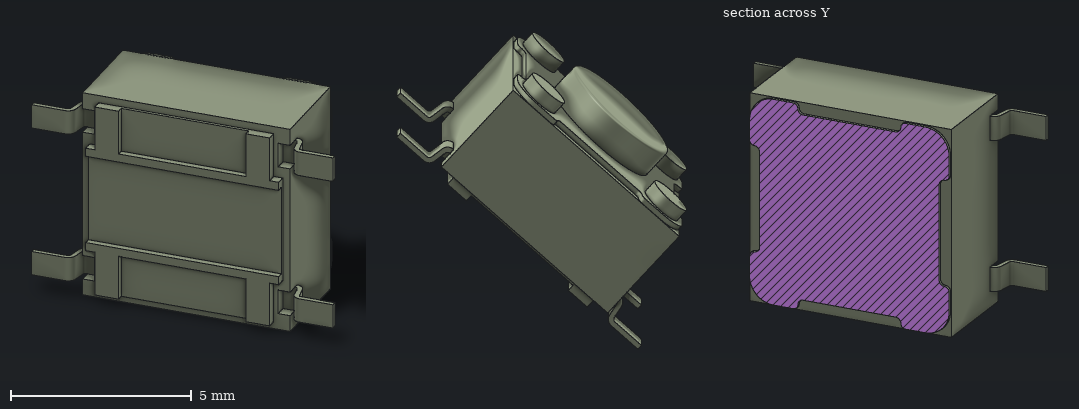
import cadquery as cq
import math


body_side = 6.2
body_front = 0.3
body_back = 3.25

base_side = 5.76
base_neck_width = 5.22
base_waist_height = 3.14
base_recess_floor = 0.2
middle_recess_height = 2.65
end_recess_width = 3.8

cover_side = 6.15
cover_back = 3.4
cover_corner_radius = 0.75
tab_end = 1.73
tab_curve_radius = 0.15

post_diameter = 1.2
post_offset = (base_side - post_diameter) / 2
post_back = 3.8
button_diameter = 3.5
button_back = 4.3
button_edge_radius = 0.09

lead_span = 9.0
lead_width = 0.72
lead_thickness = 0.15
lead_back = 0.8
lead_offset = 2.25
lead_lean = math.radians(10)
bend_inner_radius = 0.09
foot_bend_x = 3.5
slot_end_x = 2.745


def block(width, height, y_start, y_end, x=0, z=0):
    """Box centred on (x, z), reaching from y_start to y_end."""
    return cq.Workplane("XY").box(width, y_end - y_start, height).translate((x, (y_start + y_end) / 2, z))


def disc(diameter, y_start, y_end, x=0, z=0):
    """Cylinder along Y centred on (x, z)."""
    cylinder = cq.Workplane("XZ").circle(diameter / 2).extrude(y_start - y_end)
    return cylinder.translate((x, y_start, z))


def make_base():
    base = block(base_neck_width, base_side, 0, body_front)
    base = base.union(block(base_side, base_waist_height, 0, body_front))
    base = base.cut(block(base_side, middle_recess_height, 0, base_recess_floor))
    end_recess_height = (base_side - base_waist_height) / 2
    end_recess_z = (base_side + base_waist_height) / 4
    for side in (-1, 1):
        base = base.cut(
            block(end_recess_width, end_recess_height, 0, base_recess_floor, z=side * end_recess_z)
        )
    return base


def edge_notch():
    """Shallow recess in the top edge of the cover, running into the tabs with S-curves."""
    edge = cover_side / 2
    r = tab_curve_radius
    middle = tab_end - r
    floor_end = tab_end - 2 * r
    floor = edge - 2 * r
    diagonal = r * math.sqrt(0.5)
    return (
        cq.Workplane("XZ")
        .moveTo(-tab_end, edge)
        .threePointArc((-tab_end + diagonal, edge - r + diagonal), (-middle, edge - r))
        .threePointArc((-floor_end - diagonal, floor + r - diagonal), (-floor_end, floor))
        .lineTo(floor_end, floor)
        .threePointArc((floor_end + diagonal, floor + r - diagonal), (middle, edge - r))
        .threePointArc((tab_end - diagonal, edge - r + diagonal), (tab_end, edge))
        .close()
        .extrude(body_back - cover_back)
        .translate((0, body_back, 0))
    )


def make_cover():
    cover = block(cover_side, cover_side, body_back, cover_back)
    cover = cover.edges("|Y").fillet(cover_corner_radius)
    notch = edge_notch()
    for angle in (0, 90, 180, 270):
        cover = cover.cut(notch.rotate((0, 0, 0), (0, 1, 0), angle))
    for x in (-post_offset, post_offset):
        for z in (-post_offset, post_offset):
            cover = cover.union(disc(post_diameter, body_back, post_back, x, z))
    button = disc(button_diameter, body_back, button_back).faces(">Y").edges().fillet(button_edge_radius)
    return cover.union(button)


def make_lead():
    """Lead on the +X side: inner strip, bend, leaning leg, bend and foot."""
    outer = bend_inner_radius + lead_thickness
    inner = bend_inner_radius
    foot_y = outer
    top_y = lead_back - outer
    top_bend_x = foot_bend_x - (
        (outer + inner + (top_y - foot_y) * math.sin(lead_lean)) / math.cos(lead_lean)
    )
    end_angle = lead_lean
    middle_angle = (math.pi / 2 + lead_lean) / 2

    def top_point(radius, angle):
        return (top_bend_x + radius * math.cos(angle), top_y + radius * math.sin(angle))

    def foot_point(radius, angle):
        return (foot_bend_x - radius * math.cos(angle), foot_y - radius * math.sin(angle))

    return (
        cq.Workplane("XY")
        .moveTo(slot_end_x, lead_back)
        .lineTo(top_bend_x, lead_back)
        .threePointArc(top_point(outer, middle_angle), top_point(outer, end_angle))
        .lineTo(*foot_point(inner, end_angle))
        .threePointArc(foot_point(inner, middle_angle), (foot_bend_x, lead_thickness))
        .lineTo(lead_span / 2, lead_thickness)
        .lineTo(lead_span / 2, 0)
        .lineTo(foot_bend_x, 0)
        .threePointArc(foot_point(outer, middle_angle), foot_point(outer, end_angle))
        .lineTo(*top_point(inner, end_angle))
        .threePointArc(top_point(inner, middle_angle), (top_bend_x, top_y + inner))
        .lineTo(slot_end_x, top_y + inner)
        .close()
        .extrude(lead_width / 2, both=True)
    )


def make_slot():
    """Slot on the +X side, open to the front and to the side of the housing."""
    slot_width = body_side / 2 - slot_end_x
    slot_x = (body_side / 2 + slot_end_x) / 2
    return block(slot_width, lead_width, body_front, lead_back, x=slot_x)


body = block(body_side, body_side, body_front, body_back)
result = body.union(make_base()).union(make_cover())

right_lead = make_lead()
right_slot = make_slot()
for turn in (0, 180):
    for z in (-lead_offset, lead_offset):
        slot = right_slot.rotate((0, 0, 0), (0, 1, 0), turn).translate((0, 0, z))
        lead = right_lead.rotate((0, 0, 0), (0, 1, 0), turn).translate((0, 0, z))
        result = result.cut(slot).union(lead)